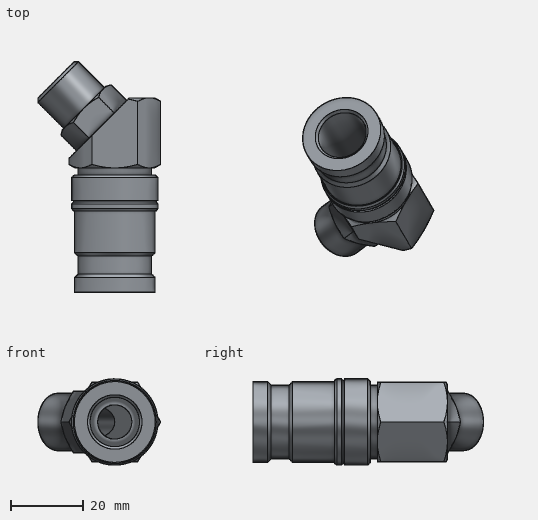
import cadquery as cq
import math


collar_radius = 12.0
barrel_radius = 11.2
neck_radius = 10.25
groove_radius = 11.5
barrel_bevel = barrel_radius - neck_radius
lip_length = 4.1
barrel_start = 10.05
ring_start = 22.6
ring_bevel = collar_radius - groove_radius
ring_lead = 0.7
ring_end = 25.0
collar_start = 25.4
collar_end = 32.6
collar_bevel = 0.8

body_start = 34.5
body_end = 53.95
body_flats = 22.1
hex_bevel_angle = math.radians(30)

branch_angle = 45
elbow_y = 42.6
branch_face = 5.1
branch_hex_end = branch_face + 6.9
branch_hex_flats = 17.1
branch_end = branch_face + 17.9
branch_radius = 8.0
branch_bevel = 0.8

bore_radius = 4.75
bore_end_y = elbow_y + bore_radius * math.sqrt(2)
socket_radius = 6.85
socket_mouth_radius = 7.55
socket_depth = 25.6
socket_bevel = socket_mouth_radius - socket_radius
branch_mouth_radius = 6.2
branch_cone_depth = 3.15


def revolve_about_y(points):
    """Revolve a closed (radius, y) outline around the Y axis."""
    return cq.Workplane("XY").polyline(points).close().revolve(360, (0, 0, 0), (0, 1, 0))


def hexagon(start, end, flats, bevel_start):
    """Hexagonal bar along Y, flats facing +Z and -Z, with corners bevelled at its ends."""
    length = end - start
    corner_radius = flats / math.sqrt(3)
    face_radius = flats / 2
    bevel = (corner_radius - face_radius) * math.tan(hex_bevel_angle)
    bar = (
        cq.Workplane("XZ", origin=(0, start, 0))
        .polygon(6, 2 * corner_radius)
        .extrude(-length)
    )
    outline = [(0, start)]
    if bevel_start:
        outline += [(face_radius, start), (corner_radius, start + bevel)]
    else:
        outline += [(corner_radius, start)]
    outline += [(corner_radius, end - bevel), (face_radius, end), (0, end)]
    return bar.intersect(revolve_about_y(outline))


def place_on_branch(shape):
    """Move a shape built along +Y from the origin onto the branch axis."""
    return shape.rotate((0, 0, 0), (0, 0, 1), branch_angle).translate((0, elbow_y, 0))


def make_sleeve():
    return revolve_about_y([
        (0, 0),
        (barrel_radius, 0),
        (barrel_radius, lip_length),
        (neck_radius, lip_length + barrel_bevel),
        (neck_radius, barrel_start),
        (barrel_radius, barrel_start + barrel_bevel),
        (barrel_radius, ring_start),
        (groove_radius, ring_start),
        (collar_radius, ring_start + ring_lead),
        (collar_radius, ring_end - ring_bevel),
        (groove_radius, ring_end),
        (groove_radius, collar_start),
        (collar_radius, collar_start),
        (collar_radius, collar_end - collar_bevel),
        (collar_radius - collar_bevel, collar_end),
        (neck_radius, collar_end),
        (neck_radius, body_start),
        (0, body_start),
    ])


def make_body():
    """Main hexagon with its branch side cut off square to the branch axis."""
    cutter_size = 2 * body_flats
    cutter = cq.Workplane("XY").box(cutter_size, cutter_size, cutter_size)
    cutter = cutter.translate((0, branch_face + cutter_size / 2, 0))
    return hexagon(body_start, body_end, body_flats, True).cut(place_on_branch(cutter))


def make_branch():
    nut = hexagon(branch_face, branch_hex_end, branch_hex_flats, False)
    spigot = revolve_about_y([
        (0, branch_face),
        (branch_radius, branch_face),
        (branch_radius, branch_end - branch_bevel),
        (branch_radius - branch_bevel, branch_end),
        (0, branch_end),
    ])
    return place_on_branch(nut.union(spigot))


def make_main_bore():
    return revolve_about_y([
        (0, 0),
        (socket_mouth_radius, 0),
        (socket_radius, socket_bevel),
        (socket_radius, socket_depth),
        (bore_radius, socket_depth),
        (bore_radius, bore_end_y),
        (0, bore_end_y),
    ])


def make_branch_bore():
    return place_on_branch(revolve_about_y([
        (0, 0),
        (bore_radius, 0),
        (bore_radius, branch_end - branch_cone_depth),
        (branch_mouth_radius, branch_end),
        (0, branch_end),
    ]))


result = (
    make_sleeve()
    .union(make_body())
    .union(make_branch())
    .cut(make_main_bore())
    .cut(make_branch_bore())
)